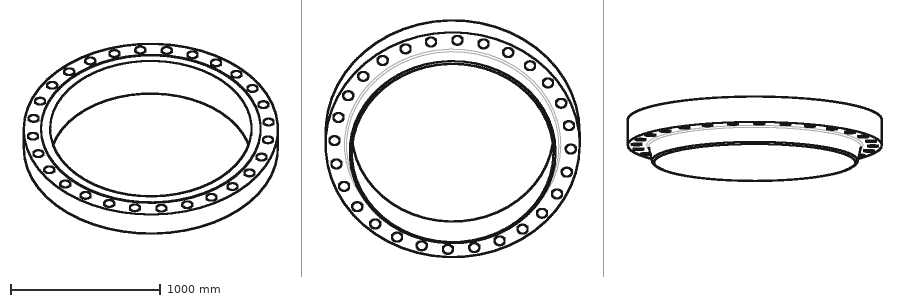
import cadquery as cq

flange_radius = 851.0
total_height = 296.0

face_radius = 735.0
face_height = 5.0
flange_thickness = 174.0
bore_radius = 674.0

hub_root_radius = 713.0
hub_tip_radius = 690.0
hub_fillet = 14.0
bevel_height = 12.0

bolt_count = 28
bolt_circle_radius = 791.0
bolt_hole_diameter = 68.0

flange_top = total_height - face_height
flange_bottom = flange_top - flange_thickness


def ring_body():
    """Revolve the weld-neck section about Z and round the hub root."""
    section = (
        cq.Workplane("XZ")
        .moveTo(bore_radius, 0)
        .lineTo(hub_tip_radius, bevel_height)
        .lineTo(hub_root_radius, flange_bottom)
        .lineTo(flange_radius, flange_bottom)
        .lineTo(flange_radius, flange_top)
        .lineTo(face_radius, flange_top)
        .lineTo(face_radius, total_height)
        .lineTo(bore_radius, total_height)
        .close()
    )
    body = section.revolve(360, (0, 0, 0), (0, 1, 0))
    hub_root = cq.selectors.RadiusNthSelector(2)
    return body.edges("%CIRCLE").edges(hub_root).fillet(hub_fillet)


def bolt_holes():
    """Cylinders on the bolt circle, one of them on the +X axis."""
    return (
        cq.Workplane("XY")
        .polarArray(bolt_circle_radius, 0, 360, bolt_count)
        .circle(bolt_hole_diameter / 2)
        .extrude(total_height)
    )


result = ring_body().cut(bolt_holes())